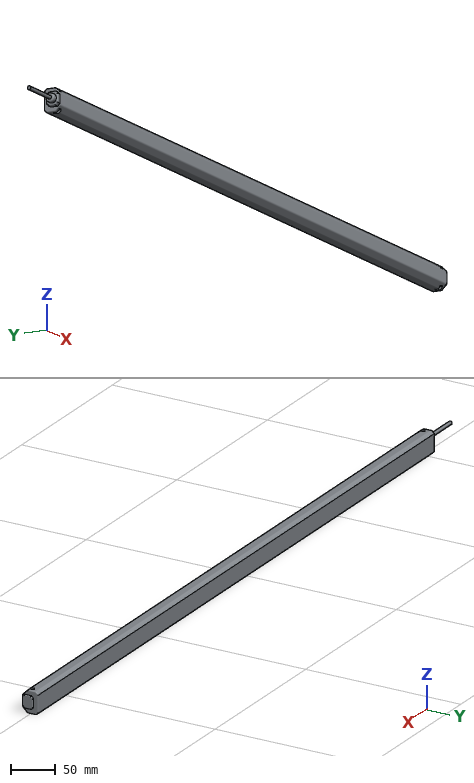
import cadquery as cq

TOTAL_LENGTH = 934.5
DEPTH = 21.01
HEIGHT = 28.0
FRONT = -DEPTH / 2
REAR = DEPTH / 2

GLAND_START = 46.5
OUTLET_START = 52.0
HOUSING_START = 57.5
LEFT_SEAM = 69.0
RIGHT_SEAM = 919.0
HOUSING_END = TOTAL_LENGTH - 1.4

FRONT_CHAMFER = 6.7
REAR_CHAMFER = 3.1
BAR_EDGE_RADIUS = 3.0

CAP_DRAFT = 0.5
CAP_EDGE_RADIUS = 1.2

BLOCK_FRONT = FRONT + 0.4
BLOCK_REAR = 4.5
BLOCK_HEIGHT = 16.6
BLOCK_CHAMFER = 3.0
BLOCK_EDGE_RADIUS = 1.5

CABLE_Y = -3.0
CABLE_DIAMETER = 4.5
CABLE_INSERTION = 10.0
GLAND_DIAMETER = 11.0
GLAND_EDGE_RADIUS = 1.8

RECESS_LENGTH = 9.0
RECESS_WIDTH = 4.5
RECESS_DEPTH = 4.0
RECESS_Y = -3.0
RECESS_STATIONS = (64.0, 926.5)


def octagon(front, rear, height, front_chamfer, rear_chamfer):
    """Corner points (Y, Z) of a rectangle whose four corners are cut at 45 degrees."""
    half = height / 2
    upper = [
        (rear, half - rear_chamfer),
        (rear - rear_chamfer, half),
        (front + front_chamfer, half),
        (front, half - front_chamfer),
    ]
    lower = [(y, -z) for y, z in reversed(upper)]
    return upper + lower


def at_station(x):
    """Workplane normal to X: its own axes run along Y and Z."""
    return cq.Workplane("YZ", origin=(x, 0, 0))


def bar_outline():
    """Bar cross-section with all but its rearmost edges rounded."""
    corners = octagon(FRONT, REAR, HEIGHT, FRONT_CHAMFER, REAR_CHAMFER)
    return cq.Sketch().polygon(corners + corners[:1]).vertices("not >X").fillet(BAR_EDGE_RADIUS).reset()


def make_bar():
    """Straight middle length with a drafted, rounded cap at each end."""
    outline = bar_outline()
    middle = at_station(LEFT_SEAM).placeSketch(outline).extrude(RIGHT_SEAM - LEFT_SEAM)
    left_cap = at_station(LEFT_SEAM).placeSketch(outline).extrude(HOUSING_START - LEFT_SEAM, taper=CAP_DRAFT)
    right_cap = at_station(RIGHT_SEAM).placeSketch(outline).extrude(HOUSING_END - RIGHT_SEAM, taper=CAP_DRAFT)
    left_cap = left_cap.faces("<X").edges().fillet(CAP_EDGE_RADIUS)
    right_cap = right_cap.faces(">X").edges().fillet(CAP_EDGE_RADIUS)
    return middle.union(left_cap).union(right_cap)


def make_block(start, end):
    """Octagonal block between two X stations."""
    corners = octagon(BLOCK_FRONT, BLOCK_REAR, BLOCK_HEIGHT, BLOCK_CHAMFER, BLOCK_CHAMFER)
    return at_station(start).polyline(corners).close().extrude(end - start)


def cable_cylinder(diameter, start, end):
    """Cylinder on the cable axis between two X stations."""
    return at_station(start).center(CABLE_Y, 0).circle(diameter / 2).extrude(end - start)


def make_recess(x, side):
    """Slotted recess cut from the top (side=1) or the bottom (side=-1)."""
    floor = side * (HEIGHT / 2 - RECESS_DEPTH)
    slot = cq.Workplane("XY", origin=(x, RECESS_Y, floor)).slot2D(RECESS_LENGTH, RECESS_WIDTH, 90)
    return slot.extrude(side * 2 * RECESS_DEPTH)


outlet_block = make_block(OUTLET_START, LEFT_SEAM).faces("<X").edges().fillet(BLOCK_EDGE_RADIUS)
end_block = make_block(RIGHT_SEAM, TOTAL_LENGTH).faces(">X").edges().fillet(BLOCK_EDGE_RADIUS)
gland = cable_cylinder(GLAND_DIAMETER, GLAND_START, LEFT_SEAM).faces("<X").edges().fillet(GLAND_EDGE_RADIUS)
housing = make_bar().union(outlet_block).union(end_block).union(gland)
for station in RECESS_STATIONS:
    for side in (1, -1):
        housing = housing.cut(make_recess(station, side))

cable = cable_cylinder(CABLE_DIAMETER, 0, GLAND_START + CABLE_INSERTION)
housing = housing.cut(cable)

result = cq.Compound.makeCompound([housing.val(), cable.val()])